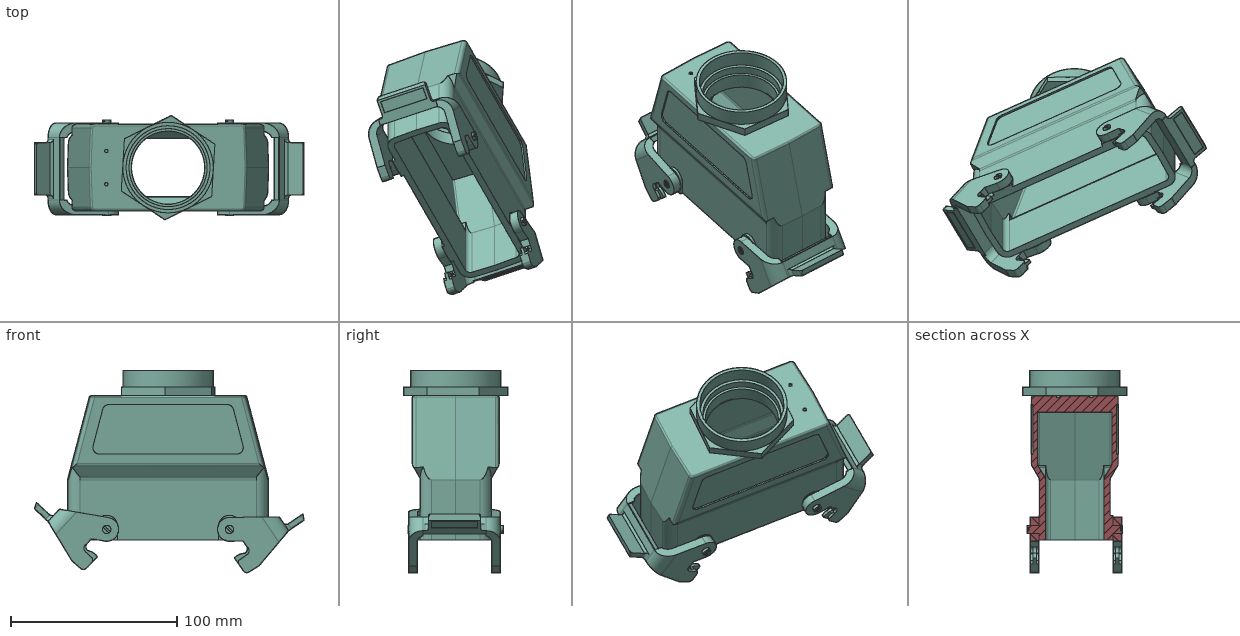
import cadquery as cq
import math

HOOD_HEIGHT = 87.0
END_HALF_LENGTH = 60.6
END_LEAN = 14.75
END_CREST_ANGLE = 2.0
LOWER_HALF_WIDTH = 21.4
UPPER_HALF_WIDTH = 26.2
STEP_BOTTOM_Z = 37.2
STEP_TOP_Z = 45.3
STEP_RADIUS = 3.0
LOWER_CORNER_RADIUS = 7.0
UPPER_CORNER_RADIUS = 2.5
SCOOP_CEILING_ANGLE = 51.0
TOP_EDGE_RADIUS = 1.2
WALL = 3.9
ROOF = 10.0
MIN_CAVITY_RADIUS = 1.0
NECK_DIAMETER = 44.0

PANEL_BOTTOM_Z = 51.8
PANEL_TOP_Z = 81.7
PANEL_TOP_HALF_LENGTH = 38.6
PANEL_CORNER_RADIUS = 4.0
PANEL_DEPTH = 1.0

ROOF_HOLE_DIAMETER = 2.0
ROOF_HOLE_DEPTH = 1.0
ROOF_HOLE_X = -37.2
ROOF_HOLE_Y = 10.0

HEX_CORNER_DIAMETER = 63.0
HEX_TURN = -3.5
HEX_HEIGHT = 5.2
COLLAR_DIAMETER = 54.5
COLLAR_HEIGHT = 10.0
COLLAR_BORE = 50.5
HEX_BORE = 47.0

PIVOT_X = 36.95
PIVOT_Z = 6.5
PIN_DIAMETER = 5.0
PIN_HALF_SPAN = 28.75
PIN_SLOT_WIDTH = 1.2
PIN_SLOT_DEPTH = 1.0
PIN_SLOT_ANGLE = 45.0
BOSS_RADIUS = 6.5
BOSS_RISE = 2.0

LEVER_Y = -0.75
LEVER_HALF_WIDTH = 27.65
ARM_THICKNESS = 5.25
ARM_END_RADIUS = 7.2
WEB_THICKNESS = 3.6
WEB_ANGLE = 56.0
WEB_DISTANCE = 29.15
BEND_OUTER_RADIUS = 8.8
BEND_INNER_RADIUS = 5.0
WEB_TOP_DROP = 10.25
OUTER_RELIEF = 1.8
INNER_RELIEF = 1.5
TURN_RIGHT = 0.0
TURN_LEFT = 9.0

HANDLE_COVE_DROP = 15.9
HANDLE_COVE_REACH = 30.9
HANDLE_TOP_DROP = 17.0
HANDLE_BOTTOM_DROP = 20.6
HANDLE_TIP_TOP_REACH = 42.05
HANDLE_TIP_BOTTOM_REACH = 40.35
HANDLE_HALF_WIDTH = 15.8
HANDLE_FLARE_RADIUS = 1.9
HANDLE_TIP_RADIUS = 1.8
GRIP_HALF_WIDTH = 13.9
GRIP_START_REACH = 32.0
GRIP_END_REACH = 39.0
GRIP_DEPTH = 0.4

STEP_ANGLE = math.atan2(UPPER_HALF_WIDTH - LOWER_HALF_WIDTH, STEP_TOP_Z - STEP_BOTTOM_Z)
STEP_TANGENT = STEP_RADIUS * math.tan(STEP_ANGLE / 2)
END_BREAK_Z = STEP_BOTTOM_Z - STEP_TANGENT
LEAN_SLOPE = math.tan(math.radians(END_LEAN))
ARM_INNER = LEVER_HALF_WIDTH - ARM_THICKNESS
HEX_TOP_Z = HOOD_HEIGHT + HEX_HEIGHT



def crested_outline(z, half_length, half_width, radius):
    """Closed outline at height z with rounded corners, its ends coming to a shallow crest."""
    corner = half_length - half_width * math.tan(math.radians(END_CREST_ANGLE))
    outline = cq.Workplane("XY", origin=(0, 0, z)).polyline([
        (half_length, 0),
        (corner, half_width),
        (-corner, half_width),
        (-half_length, 0),
        (-corner, -half_width),
        (corner, -half_width),
    ]).close().wire().val()
    corners = [v for v in outline.Vertices() if abs(v.Y) > half_width / 2]
    return outline.fillet2D(radius, corners)


def envelope(half_length, half_width, radius, height):
    """Full-width block whose ends stand upright at first and then lean in."""
    top_half_length = half_length - (height - END_BREAK_Z) * LEAN_SLOPE
    foot = crested_outline(0, half_length, half_width, radius)
    waist = crested_outline(END_BREAK_Z, half_length, half_width, radius)
    crown = crested_outline(height, top_half_length, half_width, radius)
    lower = cq.Workplane(cq.Solid.makeLoft([foot, waist], True))
    return lower.union(cq.Workplane(cq.Solid.makeLoft([waist, crown], True)))


def side_prism(inset, height):
    """Prism along X with the hood's stepped cross-section, the step edges rounded."""
    section = [
        (LOWER_HALF_WIDTH - inset, 0),
        (LOWER_HALF_WIDTH - inset, STEP_BOTTOM_Z),
        (UPPER_HALF_WIDTH - inset, STEP_TOP_Z),
        (UPPER_HALF_WIDTH - inset, height),
    ]
    mirrored = [(-y, z) for y, z in reversed(section)]
    prism = (cq.Workplane("YZ").polyline(section + mirrored).close()
             .extrude(END_HALF_LENGTH, both=True))
    step_zone = cq.selectors.BoxSelector(
        (-1, -HOOD_HEIGHT, STEP_BOTTOM_Z - 1),
        (1, HOOD_HEIGHT, STEP_TOP_Z + 1),
    )
    return prism.edges("|X").edges(step_zone).fillet(STEP_RADIUS)


def corner_scoop(inset):
    """Cutter for the +X +Y corner: rounds it upright, up to a ceiling that slopes under the step."""
    radius = LOWER_CORNER_RADIUS - inset
    crest = math.radians(END_CREST_ANGLE)
    axis_y = LOWER_HALF_WIDTH - LOWER_CORNER_RADIUS
    axis_x = END_HALF_LENGTH - inset - axis_y * math.tan(crest) - radius / math.cos(crest)
    start_y = axis_y + radius * math.sin(crest)
    slope = math.radians(SCOOP_CEILING_ANGLE)
    ceiling_z = STEP_BOTTOM_Z + STEP_TANGENT + inset / math.cos(slope)
    run = UPPER_HALF_WIDTH
    outside = (cq.Workplane("XZ", origin=(0, start_y, 0))
               .polyline([
                   (axis_x, 0),
                   (axis_x + run, 0),
                   (axis_x + run, ceiling_z + run * math.tan(slope)),
                   (axis_x, ceiling_z),
               ]).close()
               .extrude(-run))
    core = cq.Workplane("XY").center(axis_x, axis_y).circle(radius).extrude(HOOD_HEIGHT)
    return outside.cut(core)


def hood_form(inset, height):
    """The hood as a solid form; inset gives the cavity a wall's thickness inside it."""
    upper_radius = max(UPPER_CORNER_RADIUS - inset, MIN_CAVITY_RADIUS)
    block = envelope(END_HALF_LENGTH - inset, UPPER_HALF_WIDTH - inset, upper_radius, height)
    form = block.intersect(side_prism(inset, height))
    scoop = corner_scoop(inset)
    far_scoop = scoop.mirror("YZ")
    for cutter in (scoop, far_scoop, scoop.mirror("XZ"), far_scoop.mirror("XZ")):
        form = form.cut(cutter)
    return form


def label_panel(side):
    """Cutter for the panel recess in the side at +Y (side = 1) or -Y (side = -1)."""
    bottom_half_length = PANEL_TOP_HALF_LENGTH + (PANEL_TOP_Z - PANEL_BOTTOM_Z) * LEAN_SLOPE
    return (cq.Workplane("XZ", origin=(0, side * UPPER_HALF_WIDTH, 0))
            .polyline([
                (-bottom_half_length, PANEL_BOTTOM_Z),
                (bottom_half_length, PANEL_BOTTOM_Z),
                (PANEL_TOP_HALF_LENGTH, PANEL_TOP_Z),
                (-PANEL_TOP_HALF_LENGTH, PANEL_TOP_Z),
            ]).close()
            .extrude(PANEL_DEPTH, both=True)
            .edges("|Y").fillet(PANEL_CORNER_RADIUS))


def pivot_mount(x, side):
    """Boss on the hood's side wall and the slotted pin that carries one lever arm."""
    wall_y = side * (LOWER_HALF_WIDTH - WALL / 2)
    arm_y = LEVER_Y + side * ARM_INNER
    pin_end_y = side * PIN_HALF_SPAN
    boss_z = PIVOT_Z + BOSS_RISE
    mount = cq.Workplane("XZ", origin=(x, wall_y, 0))
    boss = (mount.moveTo(-BOSS_RADIUS, 0).lineTo(BOSS_RADIUS, 0).lineTo(BOSS_RADIUS, boss_z)
            .threePointArc((0, boss_z + BOSS_RADIUS), (-BOSS_RADIUS, boss_z)).close()
            .extrude(wall_y - arm_y))
    pin = mount.center(0, PIVOT_Z).circle(PIN_DIAMETER / 2).extrude(wall_y - pin_end_y)
    slot = (cq.Workplane("XY")
            .box(2 * PIN_DIAMETER, 2 * PIN_SLOT_DEPTH, PIN_SLOT_WIDTH)
            .rotate((0, 0, 0), (0, 1, 0), PIN_SLOT_ANGLE)
            .translate((x, pin_end_y, PIVOT_Z)))
    return boss.union(pin.cut(slot))


def make_hood():
    hood = hood_form(0, HOOD_HEIGHT).faces(">Z").edges().fillet(TOP_EDGE_RADIUS)
    hood = hood.cut(hood_form(WALL, HOOD_HEIGHT - ROOF))
    hood = hood.cut(cq.Workplane("XY", origin=(0, 0, HOOD_HEIGHT - 2 * ROOF))
                    .circle(NECK_DIAMETER / 2).extrude(3 * ROOF))
    roof_holes = (cq.Workplane("XY", origin=(0, 0, HOOD_HEIGHT))
                  .pushPoints([(ROOF_HOLE_X, ROOF_HOLE_Y), (ROOF_HOLE_X, -ROOF_HOLE_Y)])
                  .circle(ROOF_HOLE_DIAMETER / 2).extrude(-ROOF_HOLE_DEPTH))
    hood = hood.cut(roof_holes)
    for side in (1, -1):
        hood = hood.cut(label_panel(side))
        for x in (-PIVOT_X, PIVOT_X):
            hood = hood.union(pivot_mount(x, side))
    return hood



def make_collar():
    """Hexagonal flange standing on the hood's roof, with a round socket above it."""
    flange = (cq.Workplane("XY", origin=(0, 0, HOOD_HEIGHT))
              .polygon(6, HEX_CORNER_DIAMETER)
              .extrude(HEX_HEIGHT)
              .rotate((0, 0, 0), (0, 0, 1), 30 + HEX_TURN))
    flange = flange.cut(cq.Workplane("XY", origin=(0, 0, HOOD_HEIGHT))
                        .circle(HEX_BORE / 2).extrude(HEX_HEIGHT))
    socket = (cq.Workplane("XY", origin=(0, 0, HEX_TOP_Z))
              .circle(COLLAR_DIAMETER / 2).circle(COLLAR_BORE / 2).extrude(COLLAR_HEIGHT))
    return flange.union(socket)



WEB_DOWN = (math.cos(math.radians(WEB_ANGLE)), -math.sin(math.radians(WEB_ANGLE)))
WEB_OUT = (-WEB_DOWN[1], WEB_DOWN[0])
WEB_FRAME = cq.Plane(
    origin=(0, 0, 0),
    xDir=(WEB_OUT[0], 0, WEB_OUT[1]),
    normal=(WEB_DOWN[0], 0, WEB_DOWN[1]),
)
SIDE_FRAME = cq.Plane(
    origin=(0, 0, 0),
    xDir=(WEB_OUT[0], 0, WEB_OUT[1]),
    normal=(0, -1, 0),
)
LEVER_REACH = 60.0

OUTER_CORNER = (42.9, 7.8)
BACK_BREAK = (17.8, -22.0)
TOE_START = (12.0, -25.6)
TOE = (10.3, -26.1)
TOE_END = (8.5, -25.1)
THROAT = (8.1, -7.0)
MOUTH_TOP = (10.5, -10.5)
MOUTH_BACK = (10.6, -12.5)
MOUTH_BOTTOM = (9.5, -14.3)
HOOK_CREST = (6.5, -14.8)
HOOK_TIP = (2.9, -17.2)
RELIEF_BACK = (11.9, -12.9)
RELIEF_BOTTOM = (10.9, -15.0)
RELIEF_TIP = (5.6, -18.7)
RELIEF_FOOT = (5.4, -20.8)


def lever_side():
    """Slab with a lever's side outline: pivot eye, hook, and a far corner beyond the web."""
    return (cq.Workplane("XZ")
            .moveTo(0, ARM_END_RADIUS)
            .lineTo(*OUTER_CORNER)
            .lineTo(*BACK_BREAK)
            .lineTo(*TOE_START)
            .threePointArc(TOE, TOE_END)
            .lineTo(*HOOK_TIP)
            .threePointArc(HOOK_CREST, MOUTH_BOTTOM)
            .threePointArc(MOUTH_BACK, MOUTH_TOP)
            .lineTo(*THROAT)
            .lineTo(0, -ARM_END_RADIUS)
            .threePointArc((-ARM_END_RADIUS, 0), (0, ARM_END_RADIUS))
            .close()
            .extrude(LEVER_HALF_WIDTH, both=True))


def bent_strip(outer_reach, half_width, radius):
    """Solid strip running along the web, rounded where the arms bend into it."""
    start = outer_reach - radius
    flank = half_width - radius
    mid = radius * math.sqrt(0.5)
    return (cq.Workplane(WEB_FRAME)
            .moveTo(-LEVER_REACH, -half_width)
            .lineTo(start, -half_width)
            .threePointArc((start + mid, -flank - mid), (outer_reach, -flank))
            .lineTo(outer_reach, flank)
            .threePointArc((start + mid, flank + mid), (start, half_width))
            .lineTo(-LEVER_REACH, half_width)
            .close()
            .extrude(LEVER_REACH, both=True))


def hook_relief(face_y, depth):
    """Cutter that widens the hook mouth to a given depth either way from one face of an arm."""
    return (cq.Workplane("XZ", origin=(0, face_y, 0))
            .moveTo(*MOUTH_TOP)
            .threePointArc(RELIEF_BACK, RELIEF_BOTTOM)
            .lineTo(*RELIEF_TIP)
            .lineTo(*RELIEF_FOOT)
            .lineTo(*HOOK_TIP)
            .lineTo(HOOK_TIP[0], HOOK_CREST[1])
            .lineTo(*MOUTH_BOTTOM)
            .close()
            .extrude(depth, both=True))


def web_trim():
    """Cutter that squares off the web's top and bottom edges between the two bends."""
    trim_width = 2 * (LEVER_HALF_WIDTH - BEND_OUTER_RADIUS)
    blanks = (cq.Workplane(WEB_FRAME)
              .center(WEB_DISTANCE - WEB_THICKNESS / 2, 0)
              .rect(2 * WEB_THICKNESS, trim_width))
    above = blanks.extrude(WEB_TOP_DROP)
    below = (cq.Workplane(WEB_FRAME).workplane(offset=HANDLE_BOTTOM_DROP)
             .center(WEB_DISTANCE - WEB_THICKNESS / 2, 0)
             .rect(2 * WEB_THICKNESS, trim_width)
             .extrude(WEB_TOP_DROP))
    return above.union(below)


def lever_handle():
    """Flat handle standing square on the web, flared at its root and recessed underneath."""
    root = WEB_DISTANCE - WEB_THICKNESS / 2
    side_form = (cq.Workplane(SIDE_FRAME)
                 .polyline([
                     (root, -HANDLE_COVE_DROP),
                     (WEB_DISTANCE, -HANDLE_COVE_DROP),
                     (HANDLE_COVE_REACH, -HANDLE_TOP_DROP),
                     (HANDLE_TIP_TOP_REACH, -HANDLE_TOP_DROP),
                     (HANDLE_TIP_BOTTOM_REACH, -HANDLE_BOTTOM_DROP),
                     (root, -HANDLE_BOTTOM_DROP),
                 ]).close()
                 .extrude(LEVER_HALF_WIDTH, both=True))
    flare = HANDLE_FLARE_RADIUS
    flare_mid = flare * (1 - math.sqrt(0.5))
    tip = HANDLE_TIP_RADIUS
    tip_mid = tip * (1 - math.sqrt(0.5))
    half = HANDLE_HALF_WIDTH
    end = HANDLE_TIP_TOP_REACH
    half_plan = (cq.Workplane(WEB_FRAME)
                 .moveTo(root, 0)
                 .lineTo(root, half + flare)
                 .lineTo(WEB_DISTANCE, half + flare)
                 .threePointArc((WEB_DISTANCE + flare_mid, half + flare_mid),
                                (WEB_DISTANCE + flare, half))
                 .lineTo(end - tip, half)
                 .threePointArc((end - tip_mid, half - tip_mid), (end, half - tip))
                 .lineTo(end, 0)
                 .close()
                 .extrude(LEVER_REACH))
    plan = half_plan.union(half_plan.mirror("XZ"))
    grip = (cq.Workplane(WEB_FRAME)
            .workplane(offset=HANDLE_BOTTOM_DROP)
            .center((GRIP_START_REACH + GRIP_END_REACH) / 2, 0)
            .rect(GRIP_END_REACH - GRIP_START_REACH, 2 * GRIP_HALF_WIDTH)
            .extrude(-GRIP_DEPTH))
    return side_form.intersect(plan).cut(grip)


def make_lever():
    channel = bent_strip(WEB_DISTANCE, LEVER_HALF_WIDTH, BEND_OUTER_RADIUS)
    hollow = bent_strip(WEB_DISTANCE - WEB_THICKNESS, ARM_INNER, BEND_INNER_RADIUS)
    lever = lever_side().intersect(channel.cut(hollow)).cut(web_trim()).union(lever_handle())
    for side in (1, -1):
        lever = lever.cut(hook_relief(side * LEVER_HALF_WIDTH, OUTER_RELIEF))
        lever = lever.cut(hook_relief(side * ARM_INNER, INNER_RELIEF))
    eye = cq.Workplane("XZ").circle(PIN_DIAMETER / 2).extrude(LEVER_REACH, both=True)
    return lever.cut(eye)


def placed_lever(turn, facing):
    """Lever swung up by turn degrees, its web towards +X (facing = 1) or -X (facing = -1)."""
    lever = make_lever().rotate((0, 0, 0), (0, 1, 0), -turn)
    if facing < 0:
        lever = lever.mirror("YZ")
    return lever.translate((facing * PIVOT_X, LEVER_Y, PIVOT_Z))


hood = make_hood()
collar = make_collar()
levers = [placed_lever(TURN_RIGHT, 1), placed_lever(TURN_LEFT, -1)]

result = cq.Compound.makeCompound([
    hood.val(),
    collar.val(),
    *[lever.val() for lever in levers],
])